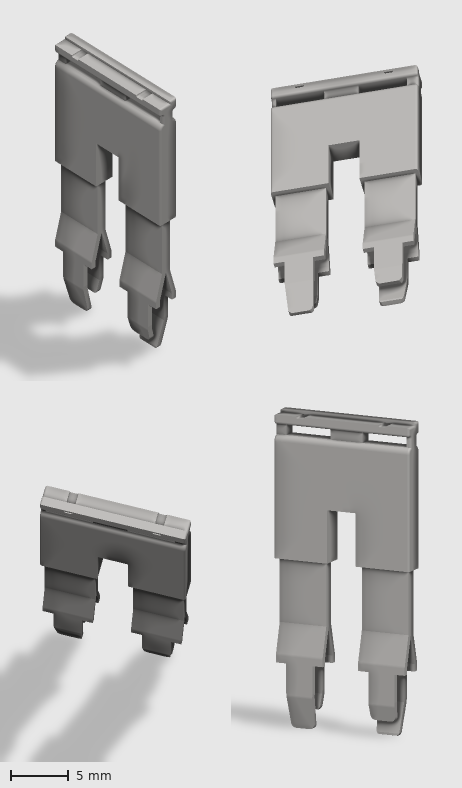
import cadquery as cq
import math


grip_width = 13.05
grip_thickness = 2.0
grip_height = 13.0
end_round = 0.2

neck_thickness = 1.23
head_depth = 1.11
head_round = 0.225
neck_round = (grip_thickness - neck_thickness) / 2 - head_round
shoulder_depth = 2.07
shoulder_slope = 30.0
shoulder_round = 0.57
neck_bottom = grip_height - shoulder_depth
shoulder_drop = (grip_thickness - neck_thickness) / 2 * math.tan(math.radians(shoulder_slope))
shoulder_bottom = neck_bottom - shoulder_drop

ledge_depth = 0.26
lip_front_y = 0.19

notch_width = 0.8
notch_depth = 0.18
notch_round = 0.16

window_width = 4.27
left_window_x = -3.36
right_window_x = 3.97

slot_width = 2.73
slot_height = 4.73

leg_pitch = 7.92
leg_width = 4.5
leg_embed = 4.0
sheet = 0.48
fork_thickness = 2.42
fork_z = -5.7
spread_angle = 15.0
lower_bend_z = -12.02
closing_angle = 14.3
bend_radius = 0.7
shoulder_z = -9.16
prong_width = 2.53
taper_z = -11.65
tip_z = -14.94
short_tip_z = -13.43
tip_width = 2.15
tip_round = 0.46
tip_gap = 0.09


def grip_profile():
    """Section of the grip across its length, drawn in Y and Z."""
    half = grip_thickness / 2
    neck = neck_thickness / 2
    top = grip_height
    ledge = top - ledge_depth
    round_start = top - head_depth + head_round
    neck_top = top - head_depth - neck_round
    return (
        cq.Workplane("YZ")
        .moveTo(-half, 0)
        .lineTo(half, 0)
        .lineTo(half, shoulder_bottom)
        .lineTo(neck, neck_bottom)
        .lineTo(neck, neck_top)
        .radiusArc((neck + neck_round, neck_top + neck_round), neck_round)
        .radiusArc((half, round_start), -head_round)
        .lineTo(half, top)
        .lineTo(lip_front_y, top)
        .lineTo(lip_front_y, ledge)
        .lineTo(-half, ledge)
        .lineTo(-half, round_start)
        .radiusArc((-neck - neck_round, neck_top + neck_round), -head_round)
        .radiusArc((-neck, neck_top), neck_round)
        .lineTo(-neck, neck_bottom)
        .lineTo(-half, shoulder_bottom)
        .close()
    )


def make_grip():
    grip = grip_profile().extrude(grip_width / 2, both=True)
    for y in (-grip_thickness / 2, grip_thickness / 2):
        shoulder_edge = cq.selectors.NearestToPointSelector((0, y, shoulder_bottom))
        grip = grip.edges("|X").edges(shoulder_edge).fillet(shoulder_round)
    end_edges = grip.faces("<X or >X").edges().filter(lambda edge: edge.Center().z > 0)
    return end_edges.fillet(end_round)


def make_notches():
    notch = (
        cq.Workplane("XY")
        .box(notch_width, 2 * grip_thickness, notch_depth, centered=(True, True, False))
        .edges("|Y and <Z")
        .fillet(notch_round)
        .translate((0, 0, grip_height - ledge_depth - notch_depth))
    )
    return notch.translate((-leg_pitch / 2, 0, 0)).union(notch.translate((leg_pitch / 2, 0, 0)))


def make_windows():
    height = shoulder_depth - head_depth
    middle_z = grip_height - (shoulder_depth + head_depth) / 2
    return (
        cq.Workplane("XY", origin=(0, 0, middle_z))
        .pushPoints([(left_window_x, 0), (right_window_x, 0)])
        .box(window_width, grip_thickness, height)
    )


def make_slot():
    return cq.Workplane("XY").box(slot_width, 2 * grip_thickness, 2 * slot_height)


def make_sheet(tip):
    """One bent sheet of a leg, on the -Y side, ending at height tip."""
    spread = math.radians(spread_angle)
    closing = math.radians(closing_angle)
    outer = fork_thickness / 2
    inner = outer - sheet
    upper_bend_z = fork_z - inner / math.tan(spread)
    fork_shift = sheet * math.tan(spread / 2)
    bend_shift = sheet * math.tan(closing / 2)
    end_y = outer - (lower_bend_z - tip) * math.tan(closing)
    outer_bends = [(-outer, upper_bend_z), (-outer, lower_bend_z)]
    side = (
        cq.Workplane("YZ")
        .polyline([
            (0, leg_embed),
            (-sheet, leg_embed),
            (-sheet, fork_z),
            *outer_bends,
            (-end_y, tip),
            (-end_y + sheet * math.cos(closing), tip + sheet * math.sin(closing)),
            (-inner, lower_bend_z + bend_shift),
            (-inner, upper_bend_z - fork_shift),
            (0, fork_z - fork_shift),
        ])
        .close()
        .extrude(leg_width / 2, both=True)
    )
    for y, z in outer_bends:
        side = side.edges(cq.selectors.NearestToPointSelector((0, y, z))).fillet(bend_radius)
    clearance = cq.Workplane("XY").box(leg_width, tip_gap, lower_bend_z - tip_z)
    side = side.cut(clearance.translate((0, 0, (lower_bend_z + tip_z) / 2)))
    return side.intersect(make_outline(tip))


def make_outline(tip):
    """Broad outline of one leg, cut through Y."""
    edge_slope = (prong_width - tip_width) / 2 / (taper_z - tip_z)
    tip_half = prong_width / 2 - (taper_z - tip) * edge_slope
    outline = (
        cq.Workplane("XZ")
        .polyline([
            (-leg_width / 2, leg_embed),
            (leg_width / 2, leg_embed),
            (leg_width / 2, shoulder_z),
            (prong_width / 2, shoulder_z),
            (prong_width / 2, taper_z),
            (tip_half, tip),
            (-tip_half, tip),
            (-prong_width / 2, taper_z),
            (-prong_width / 2, shoulder_z),
            (-leg_width / 2, shoulder_z),
        ])
        .close()
        .extrude(fork_thickness, both=True)
    )
    return outline.edges("|Y").edges("<Z").fillet(tip_round)


def make_leg(front_tip, rear_tip):
    front = make_sheet(front_tip)
    rear = make_sheet(rear_tip).mirror("XZ")
    return front.union(rear)


grip = make_grip().cut(make_notches()).cut(make_windows()).cut(make_slot())
left_leg = make_leg(tip_z, short_tip_z).translate((-leg_pitch / 2, 0, 0))
right_leg = make_leg(short_tip_z, tip_z).translate((leg_pitch / 2, 0, 0))
result = grip.union(left_leg).union(right_leg)